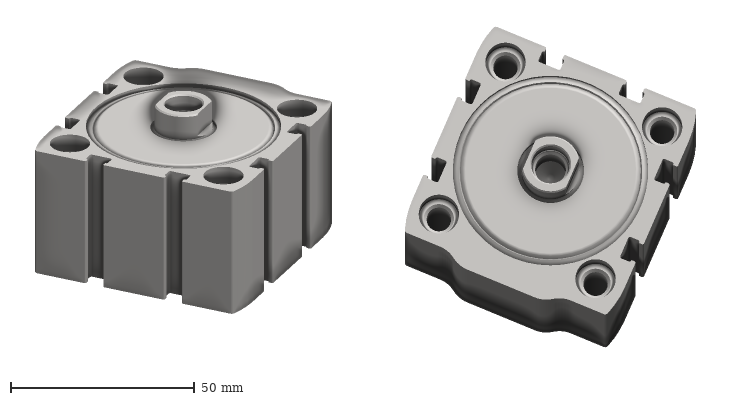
import cadquery as cq
import math

overall_depth = 66.0
overall_height = 44.0

half_width = 63.0 / 2
back_face = 34.5
body_height = 37.0
shoulder_face = 31.5
front_face = overall_depth - back_face
pad_half_width = 10.0
pad_foot = 19.4
side_flat_half = 22.2
corner_setback = 1.65
corner_radius = 1.0

slot_offset = 23.8 / 2
slot_depth = 4.55
slot_width = 6.55
neck_width = 5.2
neck_depth = 1.3
slot_lip_radius = 0.45
slot_corner_radius = 0.5

mount_offset = 23.2
counterbore_diameter = 11.0
counterbore_depth = 5.1
mount_countersink = 8.25
mount_diameter = 6.65

groove_radius = 53.3 / 2
groove_wall = 1.3
ring_radius = 50.0 / 2
ring_crest_depth = 0.45
cover_recess = 0.2
cover_radius = 24.7
cover_flat_radius = 23.3
cover_round_width = 0.6
cover_bevel_angle = 38

wiper_radius = 18.1 / 2
wiper_chamfer = 0.1
wiper_wall_depth = 1.1
wiper_rod_depth = 0.1

rod_radius = 16.0 / 2
rod_projection = overall_height - body_height
rod_insertion = 19.8
rod_chamfer = 0.4
flat_distance = 12.9 / 2
flat_start = 0.45
flat_runout_angle = 30
thread_diameter = 10.5
thread_chamfer = 0.4
thread_depth = 4.75
step_diameter = 10.0
pilot_diameter = 8.4
step_cone_height = 1.05
pilot_depth = 13.2
drill_point_angle = 118


def side_arc_middle(sx, sy, end_y):
    """Middle point of the arc that rounds one end of a side face."""
    run = end_y - side_flat_half
    radius = (run ** 2 + corner_setback ** 2) / (2 * corner_setback)
    half_run = run / 2
    setback = radius - math.sqrt(radius ** 2 - half_run ** 2)
    return (sx * (half_width - setback), sy * (side_flat_half + half_run))


def make_block():
    corner_x = half_width - corner_setback
    blend_x = (pad_half_width + pad_foot) / 2
    blend_y = (back_face + shoulder_face) / 2
    outline = (
        cq.Workplane("XY")
        .moveTo(-corner_x, -front_face)
        .lineTo(corner_x, -front_face)
        .threePointArc(side_arc_middle(1, -1, front_face), (half_width, -side_flat_half))
        .lineTo(half_width, side_flat_half)
        .threePointArc(side_arc_middle(1, 1, shoulder_face), (corner_x, shoulder_face))
        .lineTo(pad_foot, shoulder_face)
        .tangentArcPoint((blend_x, blend_y), relative=False)
        .tangentArcPoint((pad_half_width, back_face), relative=False)
        .lineTo(-pad_half_width, back_face)
        .tangentArcPoint((-blend_x, blend_y), relative=False)
        .tangentArcPoint((-pad_foot, shoulder_face), relative=False)
        .lineTo(-corner_x, shoulder_face)
        .threePointArc(side_arc_middle(-1, 1, shoulder_face), (-half_width, side_flat_half))
        .lineTo(-half_width, -side_flat_half)
        .threePointArc(side_arc_middle(-1, -1, front_face), (-corner_x, -front_face))
        .close()
    )
    block = outline.extrude(body_height)
    for sx in (-1, 1):
        for y in (-front_face, shoulder_face):
            near_corner = cq.selectors.NearestToPointSelector((sx * corner_x, y, body_height / 2))
            block = block.edges(near_corner).fillet(corner_radius)
    return block


def make_slot_cutter(offset, face_distance):
    """T-slot open toward -Y on a face this far from the axis, with rounded lips."""
    face_y = -face_distance
    floor_y = face_y + slot_depth
    neck_y = face_y + neck_depth
    wide = (
        cq.Workplane("XY")
        .center(offset, (floor_y + neck_y) / 2)
        .rect(slot_width, floor_y - neck_y)
        .extrude(body_height)
        .edges("|Z")
        .fillet(slot_corner_radius)
    )
    half_neck = neck_width / 2
    half_mouth = half_neck + slot_lip_radius
    reach = (floor_y + neck_y) / 2
    bend = slot_lip_radius * (1 - math.sqrt(0.5))
    neck = (
        cq.Workplane("XY")
        .moveTo(offset - half_mouth, face_y)
        .threePointArc(
            (offset - half_neck - bend, face_y + bend),
            (offset - half_neck, face_y + slot_lip_radius),
        )
        .lineTo(offset - half_neck, reach)
        .lineTo(offset + half_neck, reach)
        .lineTo(offset + half_neck, face_y + slot_lip_radius)
        .threePointArc(
            (offset + half_neck + bend, face_y + bend),
            (offset + half_mouth, face_y),
        )
        .close()
        .extrude(body_height)
    )
    return wide.union(neck)


def cut_slots(block):
    for offset in (-slot_offset, slot_offset):
        for angle, face_distance in ((-90, half_width), (0, front_face), (90, half_width)):
            cutter = make_slot_cutter(offset, face_distance)
            block = block.cut(cutter.rotate((0, 0, 0), (0, 0, 1), angle))
    return block


def revolve_profile(points):
    """Solid of revolution about Z from (radius, height) points."""
    return cq.Workplane("XZ").polyline(points).close().revolve(360, (0, 0, 0), (0, 1, 0))


def cut_mounting_holes(block):
    floor_z = body_height - counterbore_depth
    sink_radius = mount_countersink / 2
    hole_radius = mount_diameter / 2
    cutter = revolve_profile([
        (0, 0),
        (hole_radius, 0),
        (hole_radius, floor_z - (sink_radius - hole_radius)),
        (sink_radius, floor_z),
        (counterbore_diameter / 2, floor_z),
        (counterbore_diameter / 2, body_height),
        (0, body_height),
    ])
    for x in (-mount_offset, mount_offset):
        for y in (-mount_offset, mount_offset):
            block = block.cut(cutter.translate((x, y, 0)))
    return block


def cut_cover_groove(block):
    """Lowers the cover face and cuts the groove around it, leaving the retaining ring's crest."""
    top = body_height
    face_z = top - cover_recess
    bevel = math.radians(cover_bevel_angle)
    round_radius = cover_round_width / math.sin(bevel)
    round_middle = (
        cover_flat_radius + round_radius * math.sin(bevel / 2),
        face_z - round_radius * (1 - math.cos(bevel / 2)),
    )
    bevel_radius = cover_flat_radius + cover_round_width
    bevel_z = face_z - round_radius * (1 - math.cos(bevel))
    rim_z = bevel_z - (cover_radius - bevel_radius) * math.tan(bevel)
    cutter = (
        cq.Workplane("XZ")
        .moveTo(0, top)
        .lineTo(0, face_z)
        .lineTo(cover_flat_radius, face_z)
        .threePointArc(round_middle, (bevel_radius, bevel_z))
        .lineTo(cover_radius, rim_z)
        .lineTo(ring_radius, top - ring_crest_depth)
        .lineTo(groove_radius, top - groove_wall)
        .lineTo(groove_radius, top)
        .close()
        .revolve(360, (0, 0, 0), (0, 1, 0))
    )
    return block.cut(cutter)


def cut_rod_bore(block):
    """Blind bore for the rod, with a wiper recess around its mouth that has a sloping floor."""
    face_z = body_height - cover_recess
    bore_floor = cq.Workplane("XY").workplane(offset=body_height - rod_insertion)
    bore = bore_floor.circle(rod_radius).extrude(rod_insertion)
    recess = revolve_profile([
        (0, face_z),
        (0, face_z - wiper_rod_depth),
        (rod_radius, face_z - wiper_rod_depth),
        (wiper_radius, face_z - wiper_wall_depth),
        (wiper_radius, face_z - wiper_chamfer),
        (wiper_radius + wiper_chamfer, face_z),
    ])
    return block.cut(bore).cut(recess)


def make_housing():
    block = cut_slots(make_block())
    block = cut_mounting_holes(block)
    block = cut_cover_groove(block)
    return cut_rod_bore(block)


def cut_wrench_flats(rod):
    """Two flats at the rod end, each running out on a slope near the housing."""
    flat_z = body_height + flat_start
    outside = 2 * rod_radius
    end_z = flat_z - (outside - flat_distance) * math.tan(math.radians(flat_runout_angle))
    for side in (-1, 1):
        cutter = (
            cq.Workplane("XZ")
            .polyline([
                (side * flat_distance, overall_height),
                (side * flat_distance, flat_z),
                (side * outside, end_z),
                (side * outside, overall_height),
            ])
            .close()
            .extrude(rod_radius, both=True)
        )
        rod = rod.cut(cutter)
    return rod


def cut_rod_hole(rod):
    """Stepped hole in the rod end, finished by a drill point."""
    top = overall_height
    thread_radius = thread_diameter / 2
    pilot_radius = pilot_diameter / 2
    point_height = pilot_radius / math.tan(math.radians(drill_point_angle / 2))
    hole = revolve_profile([
        (0, top),
        (thread_radius + thread_chamfer, top),
        (thread_radius, top - thread_chamfer),
        (thread_radius, top - thread_depth),
        (step_diameter / 2, top - thread_depth),
        (pilot_radius, top - thread_depth - step_cone_height),
        (pilot_radius, top - pilot_depth),
        (0, top - pilot_depth - point_height),
    ])
    return rod.cut(hole)


def make_piston_rod():
    rod = (
        cq.Workplane("XY")
        .workplane(offset=body_height - rod_insertion)
        .circle(rod_radius)
        .extrude(rod_insertion + rod_projection)
        .faces(">Z")
        .chamfer(rod_chamfer)
    )
    return cut_rod_hole(cut_wrench_flats(rod))


housing = make_housing()
piston_rod = make_piston_rod()

result = cq.Compound.makeCompound([housing.val(), piston_rod.val()])